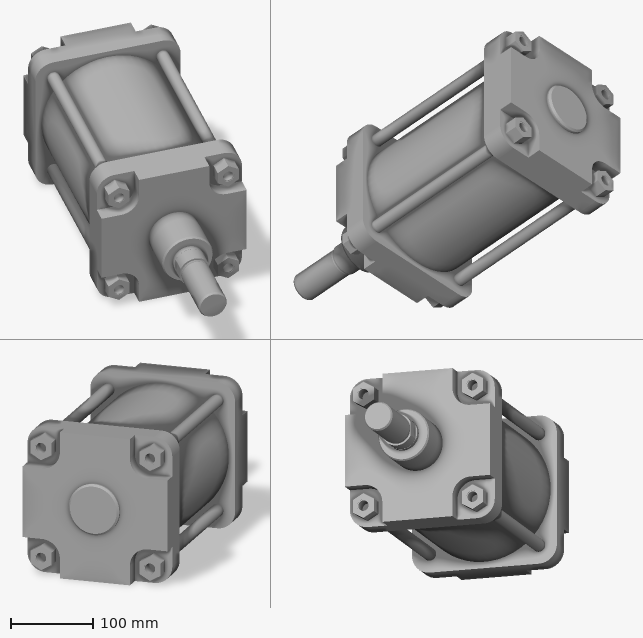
import cadquery as cq

boss_length = 6.0
stroke = 125.0
body_length = 180.0 + stroke
plate_thickness = 47.0
cap_face = boss_length
cap_inner_face = cap_face + plate_thickness
head_face = cap_face + body_length
head_inner_face = head_face - plate_thickness
gland_length = 54.5
gland_face = head_face + gland_length

plate_size = 186.0
rod_pitch = 140.0
corner_radius = (plate_size - rod_pitch) / 2
pocket_inner_edge = 45.0
pocket_radius = corner_radius
selection_margin = 1.0
pocket_depth = 19.0

boss_diameter = 65.0
boss_chamfer = 2.5
gland_chamfer_length = 2.5
gland_chamfer = 1.5

barrel_diameter = 170.0

tie_rod_diameter = 16.0
nut_across_flats = 27.0
nut_height = 17.0
hex_corner_ratio = 2 / 3**0.5
nut_hole_diameter = 13.0
nut_recess_diameter = 15.5
nut_recess_depth = 0.5

rod_diameter = 40.0
rod_shoulder = head_face + 80.0
flats_length = 19.5
flats_width = 36.0
flats_diameter = 39.5
thread_diameter = 36.0
thread_length = 72.0
rod_end = rod_shoulder + thread_length
neck_diameter = 35.0
neck_length = 3.0
neck_chamfer_length = 1.4
neck_chamfer = (thread_diameter - neck_diameter) / 2
rod_end_chamfer_length = 2.5
rod_end_chamfer = 1.5


def section_plane(x):
    """Plane across the cylinder at x, with its normal along +X."""
    return cq.Workplane("YZ", origin=(x, 0, 0))


def cylinder(diameter, start, end):
    return section_plane(start).circle(diameter / 2).extrude(end - start)


def at_tie_rods(workplane):
    return workplane.rect(rod_pitch, rod_pitch, forConstruction=True).vertices()


def corner_pockets(start):
    """Four corner recesses, each rounded at the corner nearest the axis."""
    size = plate_size / 2 - pocket_inner_edge
    spacing = plate_size - size
    pockets = (
        section_plane(start)
        .rect(spacing, spacing, forConstruction=True)
        .vertices()
        .rect(size, size)
        .extrude(pocket_depth)
    )
    half_box = pocket_inner_edge + selection_margin
    inner_corners = cq.selectors.BoxSelector(
        (start - selection_margin, -half_box, -half_box),
        (start + pocket_depth + selection_margin, half_box, half_box),
    )
    return pockets.edges("|X").edges(inner_corners).fillet(pocket_radius)


def end_plate(start, pocket_start):
    plate = (
        section_plane(start)
        .rect(plate_size, plate_size)
        .extrude(plate_thickness)
        .edges("|X")
        .fillet(corner_radius)
    )
    plate = plate.cut(corner_pockets(pocket_start))
    rod_holes = at_tie_rods(section_plane(start)).circle(tie_rod_diameter / 2).extrude(plate_thickness)
    return plate.cut(rod_holes)


def make_cap():
    boss = cylinder(boss_diameter, 0, cap_face).faces("<X").chamfer(boss_chamfer)
    return end_plate(cap_face, cap_face).union(boss)


def make_head():
    gland = cylinder(boss_diameter, head_face, gland_face)
    gland = gland.faces(">X").chamfer(gland_chamfer_length, gland_chamfer)
    plate = end_plate(head_inner_face, head_face - pocket_depth)
    return plate.union(gland).cut(cylinder(rod_diameter, head_inner_face, gland_face))


def make_barrel():
    return cylinder(barrel_diameter, cap_inner_face, head_inner_face)


def make_piston_rod():
    """Rod with two wrench flats facing -Y and +Y and a smaller threaded end."""
    flats_start = rod_shoulder - flats_length
    shank = cylinder(rod_diameter, head_inner_face, flats_start)
    flats = section_plane(flats_start).rect(flats_width, rod_diameter).extrude(flats_length)
    flats = flats.intersect(cylinder(flats_diameter, flats_start, rod_shoulder))
    neck = cylinder(neck_diameter, rod_shoulder, rod_shoulder + neck_length)
    thread = cylinder(thread_diameter, rod_shoulder + neck_length, rod_end)
    thread = thread.faces(">X").chamfer(rod_end_chamfer_length, rod_end_chamfer)
    thread = thread.faces("<X").chamfer(neck_chamfer_length, neck_chamfer)
    return shank.union(flats).union(neck).union(thread)


def nut(start, y, z):
    return (
        section_plane(start)
        .center(y, z)
        .transformed(rotate=(0, 0, 90))
        .polygon(6, nut_across_flats * hex_corner_ratio)
        .extrude(nut_height)
    )


def make_tie_rod(y, z):
    """Tie rod with a nut seated in the corner pocket at each end."""
    cap_seat = cap_face + pocket_depth
    head_seat = head_face - pocket_depth
    cap_nut_face = cap_seat - nut_height
    rod = section_plane(cap_seat).center(y, z).circle(tie_rod_diameter / 2).extrude(head_seat - cap_seat)
    rod = rod.union(nut(cap_nut_face, y, z)).union(nut(head_seat, y, z))
    for hole_start, recess_start in (
        (cap_nut_face, cap_nut_face),
        (head_seat, head_seat + nut_height - nut_recess_depth),
    ):
        hole = section_plane(hole_start).center(y, z).circle(nut_hole_diameter / 2).extrude(nut_height)
        recess = section_plane(recess_start).center(y, z).circle(nut_recess_diameter / 2)
        rod = rod.cut(hole).cut(recess.extrude(nut_recess_depth))
    return rod


cap = make_cap()
head = make_head()
barrel = make_barrel()
piston_rod = make_piston_rod()
half_pitch = rod_pitch / 2
tie_rods = [make_tie_rod(y, z) for y in (-half_pitch, half_pitch) for z in (-half_pitch, half_pitch)]

result = cq.Compound.makeCompound(
    [cap.val(), head.val(), barrel.val(), piston_rod.val(), *[rod.val() for rod in tie_rods]]
)